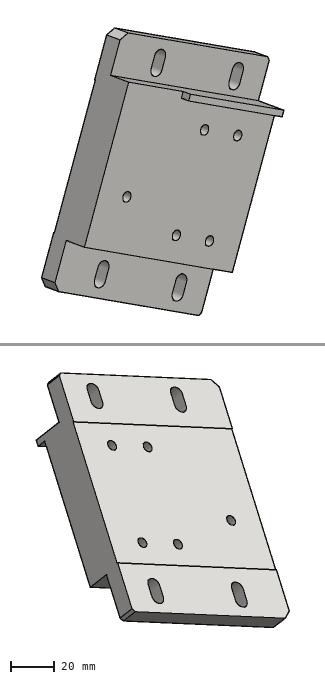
import cadquery as cq
import math

tilt = math.radians(20)

plate_width = 96.7
plate_height = 124.5
plate_thickness = 9.5
large_chamfer = 3.9
small_chamfer = 1.5

relief_depth = 0.5
relief_height = 73.5

block_top = 41.4
block_bottom = -38.1
block_back = 22.2

total_depth = 27.5
rib_length = 61.1
rib_height = 3.3

slot_width = 7.0
slot_length = 13.0
slot_across = (-30.2, 20.6)
slot_up = 50.8
slot_angle = 90

hole_diameter = 5.0
hole_across = (-28.8, -7.1)
hole_up = 25.4
single_hole = (30.2, -11.5)

plate_plane = cq.Plane(
    origin=(0, 0, 0),
    xDir=(0, -math.cos(tilt), math.sin(tilt)),
    normal=(-1, 0, 0),
)
left = -plate_width / 2
right = plate_width / 2


def slab(across_start, across_end, up_start, up_end, depth_start, depth_end):
    """Box between two corners of the tilted frame, with depth measured along +X."""
    return (
        cq.Workplane(plate_plane)
        .workplane(offset=-depth_start)
        .center((across_start + across_end) / 2, (up_start + up_end) / 2)
        .rect(across_end - across_start, up_end - up_start)
        .extrude(depth_start - depth_end)
    )


def plate():
    """Plate with large chamfers on its right corners and small ones on its left corners."""
    top = plate_height / 2
    outline = [
        (left + small_chamfer, -top),
        (right - large_chamfer, -top),
        (right, -top + large_chamfer),
        (right, top - large_chamfer),
        (right - large_chamfer, top),
        (left + small_chamfer, top),
        (left, top - small_chamfer),
        (left, -top + small_chamfer),
    ]
    return cq.Workplane(plate_plane).polyline(outline).close().extrude(-plate_thickness)


def block():
    return slab(left, right, block_bottom, block_top, 0, block_back)


def rib():
    return slab(left, left + rib_length, block_top - rib_height, block_top, plate_thickness, total_depth)


def relief():
    return slab(left, right, -relief_height / 2, relief_height / 2, 0, relief_depth)


def slots():
    centres = [(across, up) for across in slot_across for up in (-slot_up, slot_up)]
    return (
        cq.Workplane(plate_plane)
        .pushPoints(centres)
        .slot2D(slot_length, slot_width, slot_angle)
        .extrude(-plate_thickness)
    )


def holes():
    centres = [(across, up) for across in hole_across for up in (-hole_up, hole_up)]
    centres.append(single_hole)
    return cq.Workplane(plate_plane).pushPoints(centres).circle(hole_diameter / 2).extrude(-total_depth)


result = plate().union(block()).union(rib()).cut(relief()).cut(slots()).cut(holes())